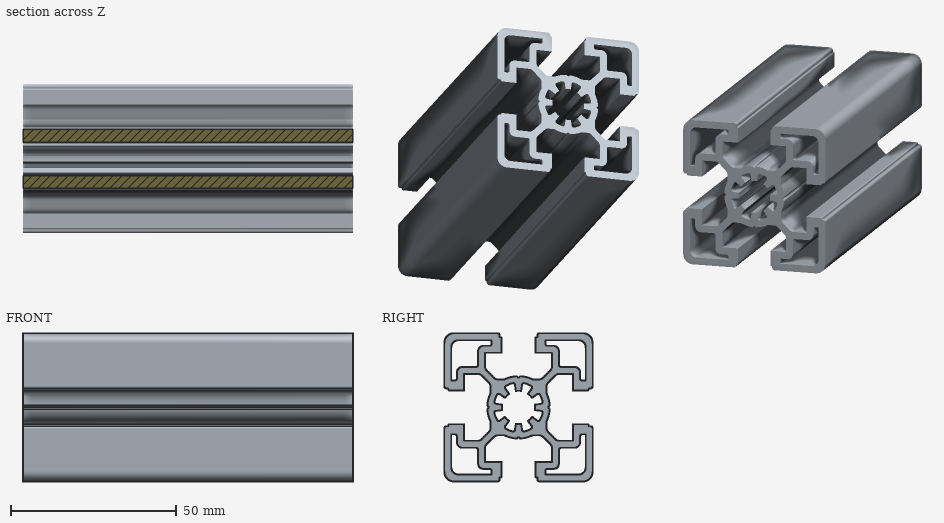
import cadquery as cq
import math

LENGTH = 100.0
SIDE = 45.0
WALL = 2.2

CORNER_RADIUS = 3.0
MOUTH_HALF = 5.7
LIP_HALF = 5.1
MOUTH_EDGE_RADIUS = 0.7
LIP_STEP_DEPTH = 1.2
LIP_EDGE_RADIUS = 0.4
LIP_DEPTH = 6.0

SLOT_HALF = 10.1
SLOT_FLOOR = 8.5
SLOT_BEND_RADIUS = 1.5

CAVITY_END = 8.2
CAVITY_CORNER_RADIUS = 2.0
CAVITY_BEND_RADIUS = 1.8
CAVITY_SMALL_RADIUS = 0.5

CORE_RADIUS = 9.5
CORE_FILLET = 1.0
CORE_GROOVE_HALF = 0.6
CORE_GROOVE_DEPTH = 0.5
BORE_RADIUS = 5.0
POCKET_RADIUS = 7.5
POCKET_FILLET = 0.5
TOOTH_COUNT = 8
SIDE_TOOTH_TIP_HALF = 0.85
SIDE_TOOTH_ROOT_HALF = 1.2
CORNER_TOOTH_TIP_HALF = 0.9
CORNER_TOOTH_ROOT_HALF = 1.3

FACE = SIDE / 2
LIP_UNDERSIDE = FACE - LIP_DEPTH
RIB_OFFSET = WALL / math.sqrt(2)
CAVITY_OUTER = FACE - WALL
TONGUE_FLOOR = LIP_UNDERSIDE + WALL
CAVITY_STEP = SLOT_HALF + WALL
CUT_MARGIN = 1.0
QUARTER_TURNS = [0, 90, 180, 270]


def extrude_outline(points):
    """Closed polygon in the YZ plane, extruded along the full length."""
    return cq.Workplane("YZ").polyline(points).close().extrude(LENGTH)


def cylinder(radius):
    return cq.Workplane("YZ").circle(radius).extrude(LENGTH)


def turned(body, angle):
    return body.rotate((0, 0, 0), (1, 0, 0), angle)


def fillet_at(body, points, radius):
    """Round the lengthwise edges that pass through the given (y, z) points."""
    for y, z in points:
        body = body.edges(cq.selectors.NearestToPointSelector((LENGTH / 2, y, z))).fillet(radius)
    return body


def mirrored_y(points):
    return [(-y, z) for y, z in points]


def all_sides(offset, height):
    """Eight matching (y, z) points: both sides of the centreline on all four sides of the bar."""
    signs = [(1, 1), (-1, 1), (1, -1), (-1, -1)]
    upright = [(sy * offset, sz * height) for sy, sz in signs]
    return upright + [(z, y) for y, z in upright]


def make_slot():
    """T-slot opening at +Z: stepped mouth, wide channel and sloped shoulders."""
    shoulder = (SLOT_HALF, SLOT_HALF + RIB_OFFSET)
    floor_end = (SLOT_FLOOR - RIB_OFFSET, SLOT_FLOOR)
    step_z = FACE - LIP_STEP_DEPTH
    right_half = [
        floor_end,
        shoulder,
        (SLOT_HALF, LIP_UNDERSIDE),
        (LIP_HALF, LIP_UNDERSIDE),
        (LIP_HALF, step_z),
        (MOUTH_HALF, step_z),
        (MOUTH_HALF, FACE + CUT_MARGIN),
    ]
    slot = extrude_outline(right_half + mirrored_y(right_half)[::-1])
    bends = [floor_end, shoulder]
    slot = fillet_at(slot, bends + mirrored_y(bends), SLOT_BEND_RADIUS)
    lip_edge = [(LIP_HALF, step_z)]
    return fillet_at(slot, lip_edge + mirrored_y(lip_edge), LIP_EDGE_RADIUS)


def make_cavity():
    """Hollow in the (+Y, +Z) corner, with a thin tongue behind each slot lip."""
    tongue_tip = (CAVITY_END, TONGUE_FLOOR)
    bend = (CAVITY_STEP, TONGUE_FLOOR)
    inner_corner = (CAVITY_STEP, CAVITY_STEP)
    outer_corner = (CAVITY_OUTER, CAVITY_OUTER)
    cavity = extrude_outline([
        outer_corner,
        (CAVITY_END, CAVITY_OUTER),
        tongue_tip,
        bend,
        inner_corner,
        bend[::-1],
        tongue_tip[::-1],
        (CAVITY_OUTER, CAVITY_END),
    ])
    cavity = fillet_at(cavity, [outer_corner], CAVITY_CORNER_RADIUS)
    cavity = fillet_at(cavity, [bend, bend[::-1]], CAVITY_BEND_RADIUS)
    small_corners = [tongue_tip, inner_corner, tongue_tip[::-1]]
    return fillet_at(cavity, small_corners, CAVITY_SMALL_RADIUS)


def make_core_groove():
    """Shallow V groove along the crest of the core, at +Z."""
    return extrude_outline([
        (0, CORE_RADIUS - CORE_GROOVE_DEPTH),
        (CORE_GROOVE_HALF, CORE_RADIUS),
        (-CORE_GROOVE_HALF, CORE_RADIUS),
    ])


def make_tooth(tip_half, root_half):
    """Tapered tooth pointing from the pocket wall at +Z towards the centre."""
    root = POCKET_RADIUS + CUT_MARGIN
    return extrude_outline([
        (-tip_half, 0),
        (tip_half, 0),
        (tip_half, BORE_RADIUS),
        (root_half, POCKET_RADIUS),
        (root_half, root),
        (-root_half, root),
        (-root_half, POCKET_RADIUS),
        (-tip_half, BORE_RADIUS),
    ])


def is_pocket_corner(edge):
    """True for lengthwise edges where a tooth meets the pocket wall."""
    center = edge.Center()
    return math.hypot(center.y, center.z) > (BORE_RADIUS + POCKET_RADIUS) / 2


def make_screw_channel():
    """Round bore with pockets between eight teeth."""
    pockets = cylinder(POCKET_RADIUS)
    for index in range(TOOTH_COUNT):
        if index % 2 == 0:
            tooth = make_tooth(SIDE_TOOTH_TIP_HALF, SIDE_TOOTH_ROOT_HALF)
        else:
            tooth = make_tooth(CORNER_TOOTH_TIP_HALF, CORNER_TOOTH_ROOT_HALF)
        pockets = pockets.cut(turned(tooth, index * 360 / TOOTH_COUNT))
    pockets = pockets.edges("|X").filter(is_pocket_corner).fillet(POCKET_FILLET)
    return pockets.union(cylinder(BORE_RADIUS))


bar = cq.Workplane("YZ").rect(SIDE, SIDE).extrude(LENGTH)
bar = bar.edges("|X").fillet(CORNER_RADIUS)

slot = make_slot()
cavity = make_cavity()
core_groove = make_core_groove()
for angle in QUARTER_TURNS:
    bar = bar.cut(turned(slot, angle)).cut(turned(cavity, angle))
bar = bar.union(cylinder(CORE_RADIUS))

core_reach = math.sqrt(CORE_RADIUS**2 - SLOT_FLOOR**2)
bar = fillet_at(bar, all_sides(MOUTH_HALF, FACE), MOUTH_EDGE_RADIUS)
bar = fillet_at(bar, all_sides(core_reach, SLOT_FLOOR), CORE_FILLET)

for angle in QUARTER_TURNS:
    bar = bar.cut(turned(core_groove, angle))
bar = bar.cut(make_screw_channel())

result = bar.translate((-LENGTH / 2, 0, 0))